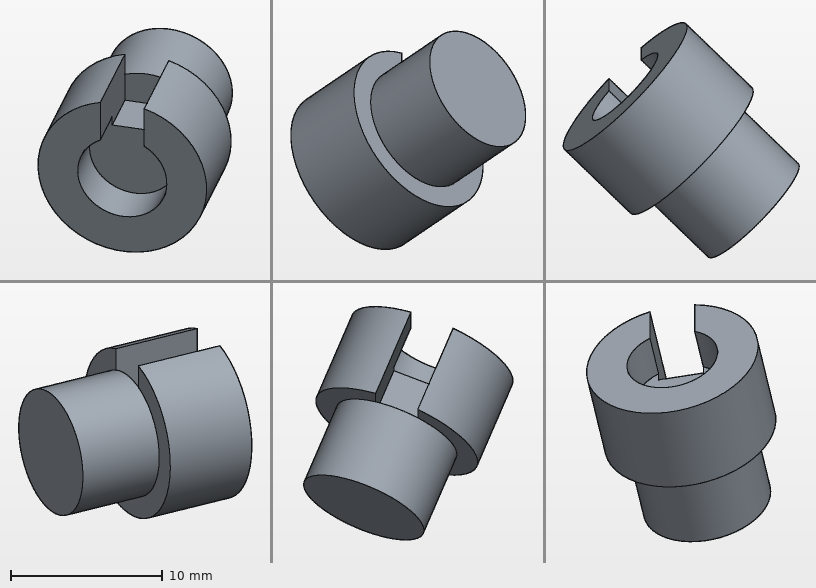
import cadquery as cq

total_length = 12.0
head_length = 6.2
head_diameter = 11.55
shank_diameter = 8.58
bore_diameter = 6.1
bore_depth = 3.0
slot_width = 3.0
slot_floor_height = 2.0


def cylinder_along_y(diameter, length):
    """Cylinder from the front face toward +Y."""
    return cq.Workplane("XZ").circle(diameter / 2).extrude(-length)


body = cylinder_along_y(head_diameter, head_length).union(
    cylinder_along_y(shank_diameter, total_length)
)

bore = cylinder_along_y(bore_diameter, bore_depth)

slot_height = head_diameter / 2 - slot_floor_height
slot = (
    cq.Workplane("XY", origin=(0, 0, slot_floor_height))
    .rect(slot_width, 2 * head_length)
    .extrude(slot_height)
)

result = body.cut(bore).cut(slot)